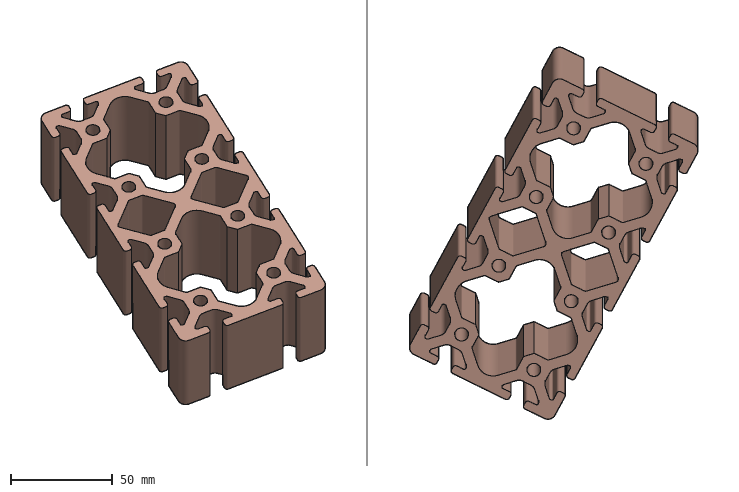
import cadquery as cq

cell = 40.0
columns = 4
rows = 2
length = 50.0
outer_radius = 4.0

core_half = 7.7
web_half = 3.8
bore_diameter = 6.7

opening = 8.0
lip_thickness = 4.5
lip_radius = 1.5
slot_half_width = 10.0
floor_radius = 3.8
slot_corner_radius = 0.8

chamber_radius = 8.0
diamond_radius = 1.6
web_root_radius = 1.0

slack = 0.08
width = columns * cell
depth = rows * cell


def cell_centres(count):
    """Positions of the cell centres along one side, measured from the middle."""
    return [(i - (count - 1) / 2) * cell for i in range(count)]


def same(a, b):
    return abs(a - b) < slack


def prism(points):
    return cq.Workplane("XY").polyline(points).close().extrude(length)


def round_edges(solid, radius, is_wanted):
    """Fillet the upright edges whose (x, y) place satisfies is_wanted."""
    edges = [
        e for e in solid.edges("|Z").vals()
        if is_wanted(e.Center().x, e.Center().y)
    ]
    return solid.newObject(edges).fillet(radius)


def make_slot():
    """T-slot cutter: the cell centre is the origin and the slot opens towards +Y.

    A slab resting on the cell face lets the outer lip corners be rounded too.
    """
    face = cell / 2
    neck = opening / 2
    lip = face - lip_thickness
    slab_half_width = neck + 2 * lip_radius
    slab_top = face + lip_radius
    right = [
        (core_half - web_half, core_half),
        (slot_half_width, slot_half_width + web_half),
        (slot_half_width, lip),
        (neck, lip),
        (neck, face),
        (slab_half_width, face),
        (slab_half_width, slab_top),
    ]
    left = [(-x, y) for x, y in reversed(right)]
    slot = prism(right + left)
    slot = round_edges(slot, floor_radius, lambda x, y: same(y, core_half))
    slot = round_edges(slot, lip_radius, lambda x, y: same(abs(x), neck) and y > lip - slack)
    return round_edges(slot, slot_corner_radius, lambda x, y: same(abs(x), slot_half_width))


def make_chamber():
    """Large hollow shared by four cells, centred on their common corner."""
    core_flat = cell / 2 - core_half
    root = cell / 2 + web_half
    core_corner = cell / 2 - web_half
    apex = cell - web_half
    quarter = [
        (apex, 0),
        (root, core_flat),
        (core_corner, core_flat),
        (core_flat, core_corner),
        (core_flat, root),
    ]
    points = []
    for _ in range(4):
        points += quarter
        quarter = [(-y, x) for x, y in quarter]

    def reach(x, y):
        return max(abs(x), abs(y))

    chamber = prism(points)
    chamber = round_edges(chamber, chamber_radius, lambda x, y: same(reach(x, y), apex))
    return round_edges(chamber, web_root_radius, lambda x, y: same(reach(x, y), root))


def make_diamond():
    """Hollow between two side-by-side cells, centred between them."""
    side = cell / 2 - core_half
    apex = cell / 2 - web_half
    points = [
        (side, -web_half),
        (side, web_half),
        (0, apex),
        (-side, web_half),
        (-side, -web_half),
        (0, -apex),
    ]
    diamond = prism(points)
    diamond = round_edges(diamond, diamond_radius, lambda x, y: same(x, 0))
    return round_edges(diamond, web_root_radius, lambda x, y: same(abs(x), side))


xs = cell_centres(columns)
ys = cell_centres(rows)

result = (
    cq.Workplane("XY")
    .rect(width, depth)
    .extrude(length)
    .edges("|Z")
    .fillet(outer_radius)
)

bores = (
    cq.Workplane("XY")
    .rarray(cell, cell, columns, rows)
    .circle(bore_diameter / 2)
    .extrude(length)
)
result = result.cut(bores)

back_slot = make_slot()
front_slot = back_slot.rotate((0, 0, 0), (0, 0, 1), 180)
left_slot = back_slot.rotate((0, 0, 0), (0, 0, 1), 90)
right_slot = back_slot.rotate((0, 0, 0), (0, 0, 1), -90)
for x in xs:
    result = result.cut(back_slot.translate((x, ys[-1], 0)))
    result = result.cut(front_slot.translate((x, ys[0], 0)))
for y in ys:
    result = result.cut(left_slot.translate((xs[0], y, 0)))
    result = result.cut(right_slot.translate((xs[-1], y, 0)))

chamber = make_chamber()
for x in (-cell, cell):
    result = result.cut(chamber.translate((x, 0, 0)))

diamond = make_diamond()
for y in ys:
    result = result.cut(diamond.translate((0, y, 0)))